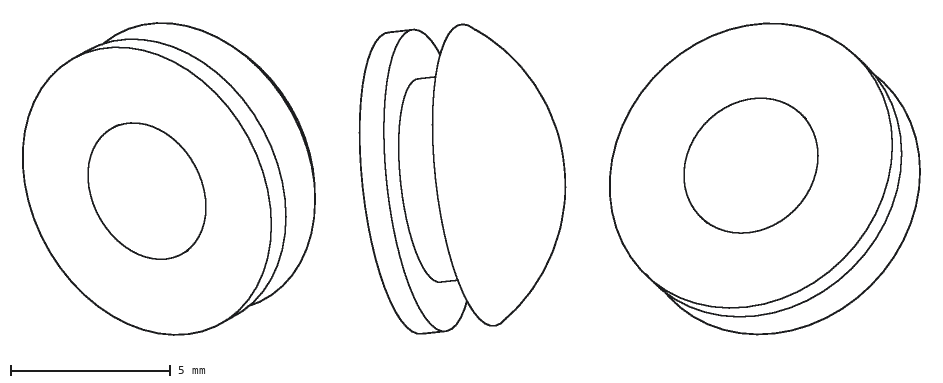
import cadquery as cq

outer_diameter = 9.5
total_length = 5.0
flange_thickness = 0.8
neck_length = 1.6
neck_diameter = 6.4
hole_diameter = 4.5
hole_depth = 4.0
hole_floor_fillet = 0.25

outer_radius = outer_diameter / 2
neck_radius = neck_diameter / 2
neck_end = flange_thickness + neck_length
dome_height = total_length - neck_end
dome_radius = (outer_radius**2 + dome_height**2) / (2 * dome_height)
dome_center = total_length - dome_radius


def make_body():
    """Flange, neck and spherical head, turned as one profile about Y."""
    mid_radius = outer_radius / 2
    mid_height = dome_center + (dome_radius**2 - mid_radius**2) ** 0.5
    profile = (
        cq.Workplane("XY")
        .lineTo(outer_radius, 0)
        .lineTo(outer_radius, flange_thickness)
        .lineTo(neck_radius, flange_thickness)
        .lineTo(neck_radius, neck_end)
        .lineTo(outer_radius, neck_end)
        .threePointArc((mid_radius, mid_height), (0, total_length))
        .close()
    )
    return profile.revolve(360, (0, 0, 0), (0, 1, 0))


def make_hole():
    """Blind hole from the flange face, with a rounded edge around its floor."""
    bore = cq.Workplane("XZ").circle(hole_diameter / 2).extrude(-hole_depth)
    return bore.faces(">Y").edges().fillet(hole_floor_fillet)


result = make_body().cut(make_hole())